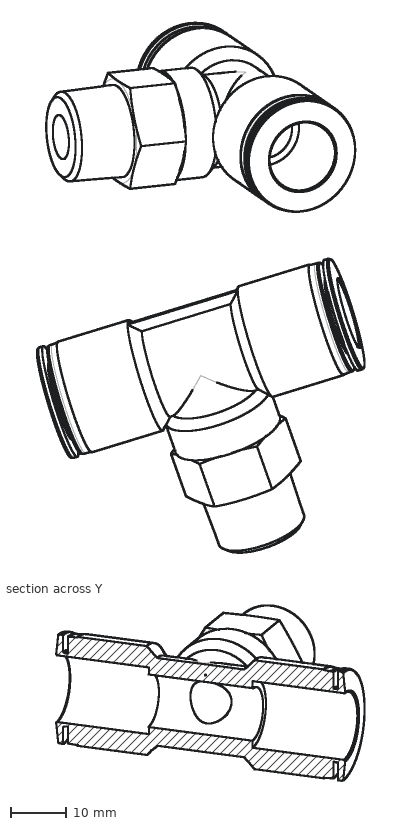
import cadquery as cq
import math

run_length = 56.5
half_run = run_length / 2
socket_radius = 21.0 / 2
sleeve_radius = 20.7 / 2
sleeve_rim_radius = 10.2
sleeve_back_radius = 10.4
collar_neck_radius = 14.1 / 2
collar_neck_root_radius = 7.25
collar_face_radius = 10.35
middle_radius = 8.5
socket_inner_end = socket_radius
middle_half_length = socket_inner_end - (socket_radius - middle_radius)

face_cone_depth = 0.4
collar_bevel_end = 0.75
collar_back = 1.45
collar_root_end = 1.8
sleeve_start = 2.3
sleeve_bevel_end = 2.65
sleeve_flat_end = 3.15
sleeve_end = 4.25

through_radius = 10.0 / 2
tube_socket_radius = 12.7 / 2
tube_socket_depth = 18.1
entry_radius = 6.6
entry_chamfer = entry_radius - tube_socket_radius

web_thickness = 0.55

branch_length = 46.5 - socket_radius
shoulder_radius = 20.0 / 2
shoulder_start = 9.6
shoulder_cone_start = 7.85
hex_start = 15.6
hex_end = 24.95
hex_across_flats = 19.0
hex_chamfer_angle = 12.0
thread_root_radius = 8.4
thread_tip_radius = 8.2
thread_chamfer = 0.9
branch_bore_radius = 8.0 / 2


def revolve_about_x(points):
    return cq.Workplane("XY").polyline(points).close().revolve(360, (0, 0, 0), (1, 0, 0))


def revolve_about_y(points):
    return cq.Workplane("XY").polyline(points).close().revolve(360, (0, 0, 0), (0, 1, 0))


def make_run():
    """Half profile of the run, from the left end to the middle, then mirrored."""
    steps_from_end = [
        (0, entry_radius),
        (face_cone_depth, collar_face_radius),
        (collar_bevel_end, socket_radius),
        (collar_back, socket_radius),
        (collar_back, collar_neck_root_radius),
        (collar_root_end, collar_neck_radius),
        (sleeve_start, collar_neck_radius),
        (sleeve_start, sleeve_rim_radius),
        (sleeve_bevel_end, sleeve_radius),
        (sleeve_flat_end, sleeve_radius),
        (sleeve_end, sleeve_back_radius),
        (sleeve_end, socket_radius),
        (half_run - socket_inner_end, socket_radius),
        (half_run - middle_half_length, middle_radius),
        (half_run, middle_radius),
    ]
    outline = [(depth - half_run, radius) for depth, radius in steps_from_end]
    half = revolve_about_x([(-half_run, 0)] + outline + [(0, 0)])
    return half.union(half.mirror("YZ"))


def make_web():
    """Thin plate on the +Y side that bridges the two sockets."""
    return cq.Workplane("XY").box(
        2 * socket_inner_end, socket_radius, web_thickness, centered=(True, False, True)
    )


def make_branch():
    thread_chamfer_start = branch_length - thread_chamfer
    steps = [
        (middle_radius, 0),
        (middle_radius, shoulder_cone_start),
        (shoulder_radius, shoulder_start),
        (shoulder_radius, hex_start),
        (thread_root_radius, hex_start),
        (thread_root_radius, hex_end),
        (thread_tip_radius, thread_chamfer_start),
        (thread_tip_radius - thread_chamfer, branch_length),
    ]
    outline = [(radius, -distance) for radius, distance in steps]
    return revolve_about_y([(0, 0)] + outline + [(0, -branch_length)])


def make_hex():
    """Hexagon with corners on +X and -X, its corners coned off at both ends."""
    flat_radius = hex_across_flats / 2
    corner_radius = flat_radius / math.cos(math.radians(30))
    drop = (corner_radius - flat_radius) * math.tan(math.radians(hex_chamfer_angle))
    prism = (
        cq.Workplane("XZ", origin=(0, -hex_start, 0))
        .polygon(6, 2 * corner_radius)
        .extrude(hex_end - hex_start)
    )
    envelope = revolve_about_y([
        (0, -hex_start),
        (flat_radius, -hex_start),
        (corner_radius, -hex_start - drop),
        (corner_radius, -hex_end + drop),
        (flat_radius, -hex_end),
        (0, -hex_end),
    ])
    return prism.intersect(envelope)


def make_tube_socket():
    """Tube bore of the left end, with its entry chamfer."""
    return revolve_about_x([
        (-half_run, 0),
        (-half_run, entry_radius),
        (-half_run + entry_chamfer, tube_socket_radius),
        (-half_run + tube_socket_depth, tube_socket_radius),
        (-half_run + tube_socket_depth, 0),
    ])


def make_bores():
    through = cq.Workplane("YZ").circle(through_radius).extrude(half_run, both=True)
    branch_bore = cq.Workplane("XZ").circle(branch_bore_radius).extrude(branch_length)
    socket = make_tube_socket()
    return through.union(branch_bore).union(socket).union(socket.mirror("YZ"))


body = make_run().union(make_web()).union(make_branch()).union(make_hex())
result = body.cut(make_bores())